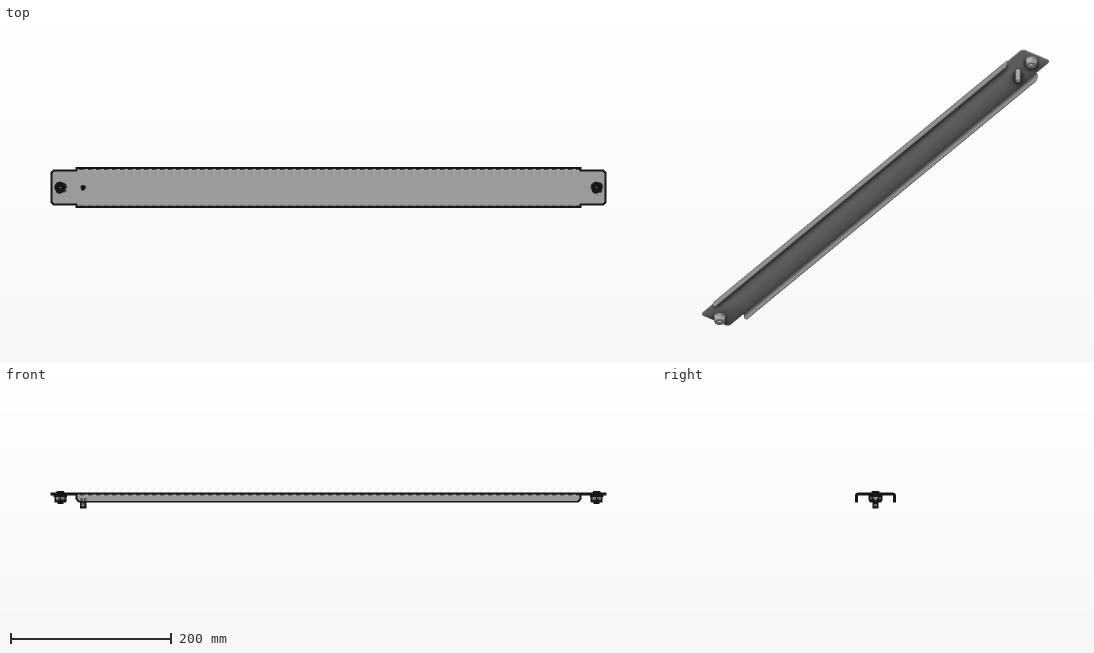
import cadquery as cq

PANEL_LENGTH = 690.0
PANEL_WIDTH = 49.0
SHEET = 1.5
BEND_RADIUS = 3.1
PANEL_CORNER = 3.0
FLANGE_LENGTH = 628.0
FLANGE_DEPTH = 10.5
FLANGE_CORNER = 3.5

SCREW_OFFSET = 334.0
SHANK_DIAMETER = 5.5
SHANK_BOTTOM = -12.5
HEAD_DIAMETER = 8.0
HEAD_HEIGHT = 2.5
HEAD_ROUNDING = 2.0
SOCKET_WIDTH = 4.0
SOCKET_DEPTH = 1.5

COLLAR_DIAMETER = 12.0
SLEEVE_DIAMETER = 14.5
SLEEVE_BOTTOM = -3.5

NUT_ACROSS_CORNERS = 15.0
NUT_BOTTOM = -10.5
NUT_BEVEL_WIDTH = 1.5
NUT_BEVEL_HEIGHT = 3.0

STANDOFF_X = -306.0
STANDOFF_DIAMETER = 6.0
STANDOFF_BORE = 3.1
OVERALL_HEIGHT = 20.0

HEX_SIDES = 6
FLAT_WIDTH = PANEL_WIDTH - 2 * BEND_RADIUS
STANDOFF_BOTTOM = HEAD_HEIGHT - OVERALL_HEIGHT
NUT_TURN = 180 / HEX_SIDES
SCREW_POSITIONS = (-SCREW_OFFSET, SCREW_OFFSET)


def upright_cylinder(x, diameter, bottom, top):
    """Solid cylinder about the vertical line through (x, 0)."""
    return cq.Workplane("XY", origin=(x, 0, bottom)).circle(diameter / 2).extrude(top - bottom)


def rounded_bar(width, top, bend_radius):
    """Bar as long as the flanges, with both long upper edges rounded."""
    return (
        cq.Workplane("XY", origin=(0, 0, top - FLANGE_DEPTH))
        .rect(FLANGE_LENGTH, width)
        .extrude(FLANGE_DEPTH)
        .edges("|X and >Z")
        .fillet(bend_radius)
    )


def make_panel():
    """Flat strip with a downturned flange on each long side, and holes for sleeves and standoff."""
    channel = rounded_bar(PANEL_WIDTH, 0, BEND_RADIUS).edges("|Y and <Z").chamfer(FLANGE_CORNER)
    hollow = rounded_bar(PANEL_WIDTH - 2 * SHEET, -SHEET, BEND_RADIUS - SHEET)
    strip = (
        cq.Workplane("XY", origin=(0, 0, -SHEET))
        .rect(PANEL_LENGTH, FLAT_WIDTH)
        .extrude(SHEET)
        .edges("|Z")
        .chamfer(PANEL_CORNER)
    )
    panel = channel.cut(hollow).union(strip)
    for x in SCREW_POSITIONS:
        panel = panel.cut(upright_cylinder(x, COLLAR_DIAMETER, -SHEET, 0))
    return panel.cut(upright_cylinder(STANDOFF_X, STANDOFF_BORE, -SHEET, 0))


def make_screw(x):
    """Round-headed screw with a hexagonal socket, its head seated on the sleeve."""
    head = upright_cylinder(x, HEAD_DIAMETER, 0, HEAD_HEIGHT).edges(">Z").fillet(HEAD_ROUNDING)
    shank = upright_cylinder(x, SHANK_DIAMETER, SHANK_BOTTOM, 0)
    socket = (
        cq.Workplane("XY", origin=(x, 0, HEAD_HEIGHT - SOCKET_DEPTH))
        .polygon(HEX_SIDES, SOCKET_WIDTH)
        .extrude(SOCKET_DEPTH)
    )
    return head.union(shank).cut(socket)


def make_sleeve(x):
    """Stepped ring: the collar fills the panel hole and the flange bears on the panel's underside."""
    flange = upright_cylinder(x, SLEEVE_DIAMETER, SLEEVE_BOTTOM, -SHEET)
    collar = upright_cylinder(x, COLLAR_DIAMETER, -SHEET, 0)
    return flange.union(collar).cut(upright_cylinder(x, SHANK_DIAMETER, SLEEVE_BOTTOM, 0))


def make_nut(x):
    """Hexagonal nut around the screw shank, two corners along Y, bevelled below."""
    block = (
        cq.Workplane("XY", origin=(x, 0, NUT_BOTTOM))
        .transformed(rotate=(0, 0, NUT_TURN))
        .polygon(HEX_SIDES, NUT_ACROSS_CORNERS)
        .extrude(SLEEVE_BOTTOM - NUT_BOTTOM)
    )
    bevelled_round = (
        upright_cylinder(x, NUT_ACROSS_CORNERS, NUT_BOTTOM, SLEEVE_BOTTOM)
        .faces("<Z")
        .chamfer(NUT_BEVEL_HEIGHT, NUT_BEVEL_WIDTH)
    )
    bore = upright_cylinder(x, SHANK_DIAMETER, NUT_BOTTOM, SLEEVE_BOTTOM)
    return block.intersect(bevelled_round).cut(bore)


def make_standoff():
    """Round post under the panel, its full-height bore in line with the panel hole."""
    post = upright_cylinder(STANDOFF_X, STANDOFF_DIAMETER, STANDOFF_BOTTOM, -SHEET)
    return post.cut(upright_cylinder(STANDOFF_X, STANDOFF_BORE, STANDOFF_BOTTOM, -SHEET))


panel = make_panel()
standoff = make_standoff()
bodies = [panel.val(), standoff.val()]
for screw_x in SCREW_POSITIONS:
    bodies.append(make_screw(screw_x).val())
    bodies.append(make_sleeve(screw_x).val())
    bodies.append(make_nut(screw_x).val())

result = cq.Compound.makeCompound(bodies)